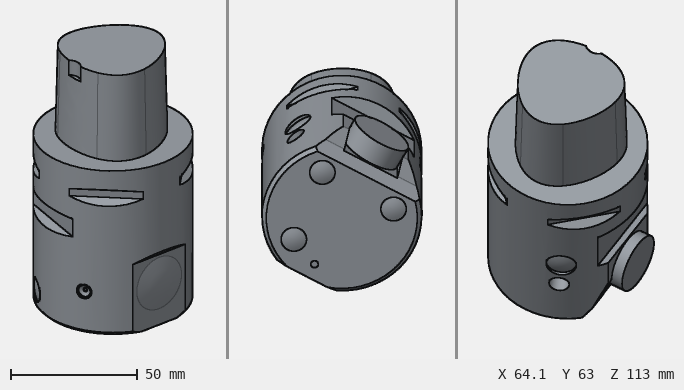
import cadquery as cq
import math


body_radius = 31.5
body_length = 74.0
bottom_chamfer = 1.7
clear = 45.2
overlap = 1.1

shank_length = 38.0
shank_radius = 22.0
shank_taper = 0.95
lobe_height = 1.4
lobe_count = 3
key_notch_diameter = 10.0
key_notch_depth = 6.5
key_notch_centre = 23.0

groove_count = 4
groove_z = -12.2
groove_floor_radius = 27.9
groove_floor_width = 3.2
groove_flank_angle = 30.0

pocket_wall_angle = 15.0
front_pocket_floor = 27.2
front_pocket_top = -23.8
front_pocket_bottom = -31.7
front_pocket_direction = 260.0
left_pocket_floor = 25.4
left_pocket_top = -23.7
left_pocket_bottom = -41.6

head_z = -55.1
seat_x = 27.9
seat_edge_x = 23.9
seat_edge_z = -67.7
seat_bottom_x = 20.1
seat_floor_x = 23.5
head_diameter = 24.0
head_boss_end = 32.6

flat_x = 28.5
flat_top = -42.5
cap_base_x = 28.3
cap_diameter = 23.8
cap_height = 1.5

front_plug_direction = 244.8
front_plug_z = -65.7
front_plug_diameter = 10.0
front_plug_rim = 30.8
front_plug_tip = 31.7
rear_plug_direction = 117.0
rear_plug_z = -38.5
rear_plug_diameter = 12.0
rear_plug_rim = 30.2
rear_plug_tip = 31.3
rear_hole_direction = 115.5
rear_hole_z = -50.5
rear_hole_diameter = 8.0
rear_hole_floor = 20.3

nozzle_direction = 299.0
nozzle_rim_diameter = 6.2
nozzle_mouth_diameter = 5.0
nozzle_bore_diameter = 1.6
nozzle_mouth_radius = 31.0
nozzle_bore_radius = 29.9
nozzle_floor_radius = 29.4

foot_height = 1.0
foot_diameter = 10.0
foot_pair_x = -13.2
foot_pair_y = 16.0
foot_single_x = 17.0
foot_single_y = 12.2
stud_diameter = 2.9
stud_height = 0.3
stud_x = 22.2


def lobed_wire(mean_radius, z):
    """Closed three-lobed outline, made of one curve per lobe and per side."""
    half_span = math.pi / (2 * lobe_count)

    def edge(centre):
        def point(t):
            x = mean_radius * math.cos(t) + lobe_height * math.cos((lobe_count - 1) * t)
            y = mean_radius * math.sin(t) - lobe_height * math.sin((lobe_count - 1) * t)
            return cq.Vector(-y, x, z)

        samples = 12
        step = 2 * half_span / samples
        return cq.Edge.makeSpline([point(centre - half_span + i * step) for i in range(samples + 1)])

    return cq.Wire.assembleEdges([edge(2 * half_span * k) for k in range(2 * lobe_count)])


def make_shank():
    base = lobed_wire(shank_radius, 0)
    tip = lobed_wire(shank_radius - shank_taper, shank_length)
    shank = cq.Workplane(cq.Solid.makeLoft([base, tip], True))
    notch = (
        cq.Workplane("XY", origin=(0, -key_notch_centre, shank_length - key_notch_depth))
        .circle(key_notch_diameter / 2)
        .extrude(clear)
    )
    return shank.cut(notch)


def side_cutter(profile, direction=0.0):
    """Prism with an outline of (distance from axis, Z) points, turned to face the direction."""
    prism = cq.Workplane("XZ").polyline(profile).close().extrude(clear, both=True)
    return prism.rotate((0, 0, 0), (0, 0, 1), direction)


def pocket(floor, top, bottom, wall_angle, direction):
    """Flat floor at the given distance from the axis, with end walls opening outward."""
    spread = (clear - floor) * math.tan(math.radians(wall_angle))
    return side_cutter(
        [(floor, bottom), (floor, top), (clear, top + spread), (clear, bottom - spread)],
        direction,
    )


def aim(solid, direction, z):
    """Swing a solid built along +X to face the direction, and raise it to the given Z."""
    return solid.rotate((0, 0, 0), (0, 0, 1), direction).translate((0, 0, z))


def radial_turned(profile, direction, z):
    """Turned solid on a radial axis; profile points are (distance from body axis, radius)."""
    solid = cq.Workplane("XY").polyline(profile).close().revolve(360, (0, 0, 0), (1, 0, 0))
    return aim(solid, direction, z)


def dome(diameter, base, tip, root):
    """Domed round stud along +X, from the root plane through the dome's base to its tip."""
    radius = diameter / 2
    height = tip - base
    sphere_radius = (radius**2 + height**2) / (2 * height)
    middle_angle = math.asin(radius / sphere_radius) / 2
    middle = (
        tip - sphere_radius * (1 - math.cos(middle_angle)),
        sphere_radius * math.sin(middle_angle),
    )
    return (
        cq.Workplane("XY")
        .moveTo(root, 0)
        .lineTo(root, radius)
        .lineTo(base, radius)
        .threePointArc(middle, (tip, 0))
        .close()
        .revolve(360, (0, 0, 0), (1, 0, 0))
    )


def fit_plug(part, diameter, rim, tip, direction, z):
    """Bore a radial seat down to the plug's rim and fill it with a domed plug."""
    seat = radial_turned([(rim, 0), (rim, diameter / 2), (clear, diameter / 2), (clear, 0)], direction, z)
    plug = aim(dome(diameter, rim, tip, rim - overlap), direction, z)
    return part.cut(seat).union(plug)


def cut_grooves(part):
    half = groove_floor_width / 2
    for k in range(groove_count):
        direction = (k + 0.5) * 360 / groove_count
        part = part.cut(
            pocket(groove_floor_radius, groove_z + half, groove_z - half, groove_flank_angle, direction)
        )
    return part


def cut_pockets(part):
    front = pocket(
        front_pocket_floor, front_pocket_top, front_pocket_bottom, pocket_wall_angle, front_pocket_direction
    )
    left = pocket(left_pocket_floor, left_pocket_top, left_pocket_bottom, pocket_wall_angle, 180)
    return part.cut(front).cut(left)


def cut_head_seat(part):
    """Upright flat and two slopes leaning in toward the bottom, with a square seat."""
    slopes = side_cutter(
        [
            (seat_x, left_pocket_bottom),
            (seat_x, head_z),
            (seat_edge_x, seat_edge_z),
            (seat_bottom_x, -body_length),
            (clear, -body_length),
            (clear, left_pocket_bottom),
        ],
        180,
    )
    seat_plane = cq.Workplane("YZ", origin=(-seat_floor_x, 0, head_z))
    seat = seat_plane.center(0, -head_diameter / 2).rect(head_diameter, head_diameter).extrude(-clear)
    return part.cut(slopes).cut(seat)


def add_head_boss(part):
    boss = (
        cq.Workplane("YZ", origin=(-head_boss_end, 0, head_z))
        .circle(head_diameter / 2)
        .extrude(head_boss_end)
    )
    return part.union(boss)


def add_right_cap(part):
    slope_reach = clear - flat_x
    flat = side_cutter(
        [
            (flat_x, -body_length),
            (flat_x, flat_top),
            (clear, flat_top + slope_reach),
            (clear, -body_length),
        ]
    )
    cap = dome(cap_diameter, cap_base_x, cap_base_x + cap_height, 0).translate((0, 0, head_z))
    return part.cut(flat).union(cap)


def cut_rear_hole(part):
    radius = rear_hole_diameter / 2
    profile = [(rear_hole_floor, 0), (rear_hole_floor, radius), (clear, radius), (clear, 0)]
    return part.cut(radial_turned(profile, rear_hole_direction, rear_hole_z))


def cut_nozzle(part):
    rim = nozzle_rim_diameter / 2
    bore = nozzle_bore_diameter / 2
    profile = [
        (nozzle_floor_radius, 0),
        (nozzle_floor_radius, bore),
        (nozzle_bore_radius, bore),
        (nozzle_mouth_radius, nozzle_mouth_diameter / 2),
        (nozzle_mouth_radius, rim),
        (clear, rim),
        (clear, 0),
    ]
    return part.cut(radial_turned(profile, nozzle_direction, head_z))


def add_feet(part):
    feet = [
        (foot_pair_x, foot_pair_y),
        (foot_pair_x, -foot_pair_y),
        (foot_single_x, foot_single_y),
    ]
    for x, y in feet:
        foot = dome(foot_diameter, 0, foot_height, -overlap).rotate((0, 0, 0), (0, 1, 0), 90)
        part = part.union(foot.translate((x, y, -body_length)))
    stud = (
        cq.Workplane("XY", origin=(stud_x, 0, -body_length - stud_height))
        .circle(stud_diameter / 2)
        .extrude(overlap + stud_height)
    )
    return part.union(stud)


body = cq.Workplane("XY").circle(body_radius).extrude(-body_length).faces("<Z").chamfer(bottom_chamfer)
body = cut_grooves(body)
body = cut_pockets(body)
body = cut_head_seat(body)
body = add_head_boss(body)
body = add_right_cap(body)
body = fit_plug(
    body, front_plug_diameter, front_plug_rim, front_plug_tip, front_plug_direction, front_plug_z
)
body = fit_plug(body, rear_plug_diameter, rear_plug_rim, rear_plug_tip, rear_plug_direction, rear_plug_z)
body = cut_rear_hole(body)
body = cut_nozzle(body)
body = add_feet(body)
result = body.union(make_shank())